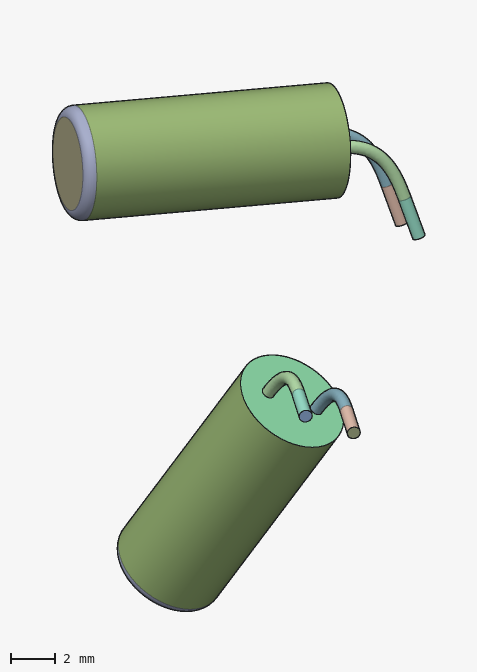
import cadquery as cq
import math

body_diameter = 5.2
total_length = 16.47
total_height = 7.18
body_length = 12.5
end_rounding = 0.5

lead_diameter = 0.6
lead_spacing = 2.42
tip_length = 2.0
tip_slope = math.radians(70)

lead_radius = lead_diameter / 2
tip_dir_y = math.cos(tip_slope)
tip_dir_z = -math.sin(tip_slope)
tip_y = total_length - lead_radius * math.sin(tip_slope)
tip_z = body_diameter / 2 - total_height + lead_radius * math.cos(tip_slope)
bend_end_y = tip_y - tip_length * tip_dir_y
bend_end_z = tip_z - tip_length * tip_dir_z


def make_body():
    return (
        cq.Workplane("XZ")
        .circle(body_diameter / 2)
        .extrude(-body_length)
        .faces("<Y")
        .edges()
        .fillet(end_rounding)
    )


def make_lead(x):
    bend_path = (
        cq.Workplane("YZ", origin=(x, 0, 0))
        .moveTo(body_length, 0)
        .spline(
            [(bend_end_y, bend_end_z)],
            tangents=[(1, 0), (tip_dir_y, tip_dir_z)],
            includeCurrent=True,
        )
    )
    bend = (
        cq.Workplane("XZ", origin=(x, body_length, 0))
        .circle(lead_radius)
        .sweep(bend_path)
    )
    tip_plane = cq.Plane(
        origin=(x, bend_end_y, bend_end_z),
        xDir=(1, 0, 0),
        normal=(0, tip_dir_y, tip_dir_z),
    )
    tip = cq.Workplane(tip_plane).circle(lead_radius).extrude(tip_length)
    return bend.union(tip)


result = make_body()
for side in (-1, 1):
    result = result.union(make_lead(side * lead_spacing / 2))